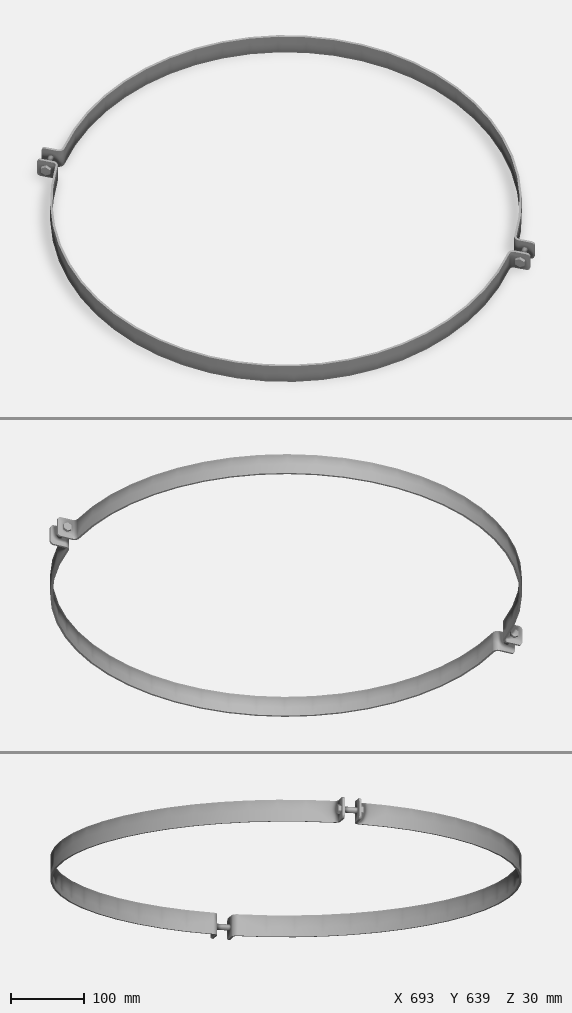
import cadquery as cq
import math

OVERALL_LENGTH = 693.0
BAND_HEIGHT = 30.0
OVERALL_WIDTH = 639.0
OUTER_RADIUS = OVERALL_WIDTH / 2
BAND_THICKNESS = 3.1
INNER_RADIUS = OUTER_RADIUS - BAND_THICKNESS

EAR_GAP = 20.0
EAR_TIP = OVERALL_LENGTH / 2
EAR_INNER_FACE = EAR_GAP / 2
EAR_OUTER_FACE = EAR_INNER_FACE + BAND_THICKNESS
EAR_CORNER_RADIUS = 5.0

BEND_CONCAVE_RADIUS = 5.0
BEND_CONVEX_RADIUS = BEND_CONCAVE_RADIUS + BAND_THICKNESS

BOLT_X = 333.0
BOLT_POSITIONS = (-BOLT_X, BOLT_X)
SHANK_DIAMETER = 8.0
HEXAGON_SIDES = 6
HEAD_ACROSS_FLATS = 13.0
HEAD_HEIGHT = 4.5
NUT_ACROSS_FLATS = 11.0
NUT_HEIGHT = 4.0


def bend_points(bend_radius):
    """Start (on the ear), middle and end (on the band) of a bend arc at the +X end of the rear half.

    The bend is centered so that its concave arc touches the ear's outer face and the band's outer face.
    """
    center_y = EAR_OUTER_FACE + BEND_CONCAVE_RADIUS
    center_x = math.sqrt((OUTER_RADIUS + BEND_CONCAVE_RADIUS) ** 2 - center_y ** 2)
    toward_ear = -math.pi / 2
    toward_band_center = math.atan2(center_y, center_x) - math.pi
    middle = (toward_ear + toward_band_center) / 2
    return [
        (center_x + bend_radius * math.cos(angle), center_y + bend_radius * math.sin(angle))
        for angle in (toward_ear, middle, toward_band_center)
    ]


def mirrored(point):
    """Same point on the -X side."""
    return (-point[0], point[1])


def make_half_band():
    """Half ring on the +Y side with an outward ear at each end and a bolt hole in each ear."""
    outer_ear, outer_middle, outer_band = bend_points(BEND_CONCAVE_RADIUS)
    inner_ear, inner_middle, inner_band = bend_points(BEND_CONVEX_RADIUS)
    band = (
        cq.Workplane("XY")
        .moveTo(EAR_TIP, EAR_INNER_FACE)
        .lineTo(EAR_TIP, EAR_OUTER_FACE)
        .lineTo(*outer_ear)
        .threePointArc(outer_middle, outer_band)
        .threePointArc((0, OUTER_RADIUS), mirrored(outer_band))
        .threePointArc(mirrored(outer_middle), mirrored(outer_ear))
        .lineTo(-EAR_TIP, EAR_OUTER_FACE)
        .lineTo(-EAR_TIP, EAR_INNER_FACE)
        .lineTo(*mirrored(inner_ear))
        .threePointArc(mirrored(inner_middle), mirrored(inner_band))
        .threePointArc((0, INNER_RADIUS), inner_band)
        .threePointArc(inner_middle, inner_ear)
        .close()
        .extrude(BAND_HEIGHT / 2, both=True)
    )
    for tip_side in (">X", "<X"):
        band = band.faces(tip_side).edges("|Y").fillet(EAR_CORNER_RADIUS)
    holes = (
        cq.Workplane("XZ")
        .pushPoints([(x, 0) for x in BOLT_POSITIONS])
        .circle(SHANK_DIAMETER / 2)
        .extrude(-EAR_OUTER_FACE)
    )
    return band.cut(holes)


def hexagon(x, face_y, across_flats):
    """Sketch of a hexagon with corners up and down, in the plane Y = face_y."""
    return cq.Workplane("XZ", origin=(x, face_y, 0)).polygon(HEXAGON_SIDES, across_flats, circumscribed=True)


def make_bolt(x):
    """Bolt along Y: hexagon head on the -Y ear, shank through both ears and the nut."""
    head = hexagon(x, -EAR_OUTER_FACE, HEAD_ACROSS_FLATS).extrude(HEAD_HEIGHT)
    shank_length = 2 * EAR_OUTER_FACE + NUT_HEIGHT
    shank = (
        cq.Workplane("XZ", origin=(x, -EAR_OUTER_FACE, 0))
        .circle(SHANK_DIAMETER / 2)
        .extrude(-shank_length)
    )
    return head.union(shank)


def make_nut(x):
    """Hexagon nut seated on the +Y ear, flush with the end of the shank."""
    return (
        hexagon(x, EAR_OUTER_FACE, NUT_ACROSS_FLATS)
        .circle(SHANK_DIAMETER / 2)
        .extrude(-NUT_HEIGHT)
    )


rear_band = make_half_band()
front_band = rear_band.mirror("XZ")
bolts = [make_bolt(x) for x in BOLT_POSITIONS]
nuts = [make_nut(x) for x in BOLT_POSITIONS]

result = cq.Compound.makeCompound(
    [rear_band.val(), front_band.val()]
    + [bolt.val() for bolt in bolts]
    + [nut.val() for nut in nuts]
)